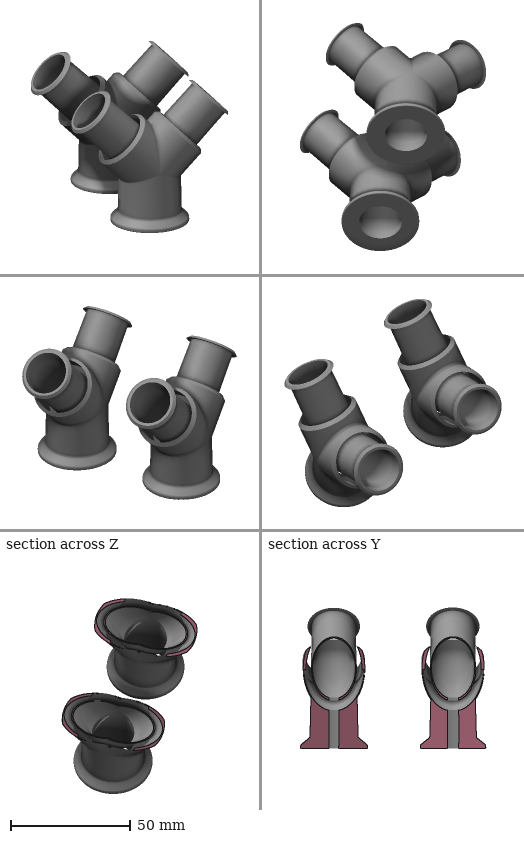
import cadquery as cq
import math


ARM_ANGLE = 45.0
JUNCTION_HEIGHT = 25.0
FITTING_SPACING = 50.0
CLEARANCE_SIZE = 82.9

NECK_TAPER = 0.4
FLANGE_EDGE_HEIGHT = 1.6
FLANGE_BLEND_RADIUS = 1.0
FLANGE_BOTTOM_RADIUS = 0.3

SLEEVE_LENGTH = 19.1
MOUTH_DIAMETER = 23.3
MOUTH_DEPTH = 7.2
CHAMBER_WALL = 0.5

VALLEY_RADIUS = 1.0
VALLEY_END_HEIGHT = 31.5
NECK_BLEND_RADIUS = 1.0
NECK_BLEND_END = 1.25
CREASE_BOTTOM = 16.6
CREASE_TOP = 22.4

TUBE_LENGTH = 38.2
LIP_THICKNESS = 1.1
TUBE_WALL = 0.3
TUBE_TAPER = 0.5


def arm_plane():
    """Plane across the +Y arm at the junction, with its normal along the arm."""
    angle = math.radians(ARM_ANGLE)
    along = (0, math.sin(angle), math.cos(angle))
    return cq.Plane(origin=(0, 0, JUNCTION_HEIGHT), xDir=(1, 0, 0), normal=along)


def arm_cylinder(diameter, length):
    return cq.Workplane(arm_plane()).circle(diameter / 2).extrude(length)


def turned_on_arm(profile):
    """Turn (radius, distance from the junction) points about the arm axis."""
    across = arm_plane()
    lengthwise = cq.Plane(origin=across.origin, xDir=across.xDir, normal=-across.yDir)
    return cq.Workplane(lengthwise).polyline(profile).close().revolve(360, (0, 0), (0, 1))


def half_space(offset):
    """Large block on the +Y side of the plane y = offset."""
    size = CLEARANCE_SIZE
    block = cq.Workplane("XY").box(2 * size, size, 2 * size, centered=(True, False, True))
    return block.translate((0, offset, 0))


def on_both_arms(arm_part):
    """Trim a +Y arm part at the middle plane and join it to its mirror image."""
    half = arm_part.intersect(half_space(0))
    return half.union(half.mirror("XZ"))


def base_and_neck(neck_diameter, flange_diameter):
    top_radius = neck_diameter / 2
    bottom_radius = top_radius + NECK_TAPER
    flange_radius = flange_diameter / 2
    neck_start = FLANGE_EDGE_HEIGHT + flange_radius - bottom_radius
    profile = [
        (0, 0),
        (flange_radius, 0),
        (flange_radius, FLANGE_EDGE_HEIGHT),
        (bottom_radius, neck_start),
        (top_radius, JUNCTION_HEIGHT),
        (0, JUNCTION_HEIGHT),
    ]
    body = cq.Workplane("XZ").polyline(profile).close().revolve(360, (0, 0), (0, 1))
    cone_edges = body.faces("%CONE").faces("<Z").edges()
    blended = cone_edges.fillet(FLANGE_BLEND_RADIUS)
    return blended.faces("<Z").edges().fillet(FLANGE_BOTTOM_RADIUS)


def sleeve(diameter):
    """Solid sleeve blank from below the junction to a chamfered tip, sharp at the mouth."""
    radius = diameter / 2
    mouth_radius = MOUTH_DIAMETER / 2
    chamfer = radius - mouth_radius
    profile = [
        (0, -radius),
        (radius, -radius),
        (radius, SLEEVE_LENGTH - chamfer),
        (mouth_radius, SLEEVE_LENGTH),
        (0, SLEEVE_LENGTH),
    ]
    return turned_on_arm(profile)


def joined_sleeves(diameter):
    """Both sleeve blanks, with a blend along the upper part of the valley between them."""
    pair = on_both_arms(sleeve(diameter))
    size = CLEARANCE_SIZE
    above = cq.Workplane("XY", origin=(0, 0, VALLEY_END_HEIGHT)).rect(size, size).extrude(size)
    top = pair.intersect(above)
    valley = cq.selectors.BoxSelector((-0.8, -0.8, VALLEY_END_HEIGHT), (0.8, 0.8, size))
    return pair.union(top.edges(valley).fillet(VALLEY_RADIUS))


def blend_neck(body):
    """Blend the crease below each sleeve, stopping short of the middle plane."""
    side_part = body.intersect(half_space(NECK_BLEND_END))
    size = CLEARANCE_SIZE
    crease_zone = cq.selectors.BoxSelector((-0.8, NECK_BLEND_END, CREASE_BOTTOM), (0.8, size, CREASE_TOP))
    blended = side_part.edges(crease_zone).fillet(NECK_BLEND_RADIUS)
    return body.union(blended).union(blended.mirror("XZ"))


def sleeve_cavities(sleeve_diameter):
    mouth = arm_cylinder(MOUTH_DIAMETER, SLEEVE_LENGTH)
    chamber = arm_cylinder(sleeve_diameter - 2 * CHAMBER_WALL, SLEEVE_LENGTH - MOUTH_DEPTH)
    return on_both_arms(mouth.union(chamber))


def hose_tubes(bore_diameter, lip_diameter):
    """Solid hose tube blanks, each with a bevelled lip at its tip."""
    tip_radius = bore_diameter / 2 + TUBE_WALL
    lip_radius = lip_diameter / 2
    lip_start = TUBE_LENGTH - LIP_THICKNESS
    profile = [
        (0, 0),
        (tip_radius + TUBE_TAPER, 0),
        (tip_radius, lip_start),
        (lip_radius, lip_start),
        (lip_radius - LIP_THICKNESS, TUBE_LENGTH),
        (0, TUBE_LENGTH),
    ]
    return on_both_arms(turned_on_arm(profile))


def y_fitting(diameters):
    body = base_and_neck(diameters["neck"], diameters["flange"])
    body = body.union(joined_sleeves(diameters["sleeve"]))
    body = blend_neck(body)
    body = body.cut(sleeve_cavities(diameters["sleeve"]))
    body = body.union(hose_tubes(diameters["bore"], diameters["lip"]))
    arm_bores = on_both_arms(arm_cylinder(diameters["bore"], TUBE_LENGTH))
    neck_bore = cq.Workplane("XY").circle(diameters["bore"] / 2).extrude(JUNCTION_HEIGHT)
    return body.cut(arm_bores).cut(neck_bore)


FITTING_DIAMETERS = [
    {"neck": 25.5, "flange": 32.65, "sleeve": 26.35, "bore": 18.0, "lip": 22.45},
    {"neck": 26.0, "flange": 33.15, "sleeve": 26.1, "bore": 17.8, "lip": 22.05},
]

fittings = []
for index, diameters in enumerate(FITTING_DIAMETERS):
    fitting = y_fitting(diameters)
    placed = fitting.translate((index * FITTING_SPACING, 0, 0))
    fittings.append(placed.solids().val())

result = cq.Compound.makeCompound(fittings)